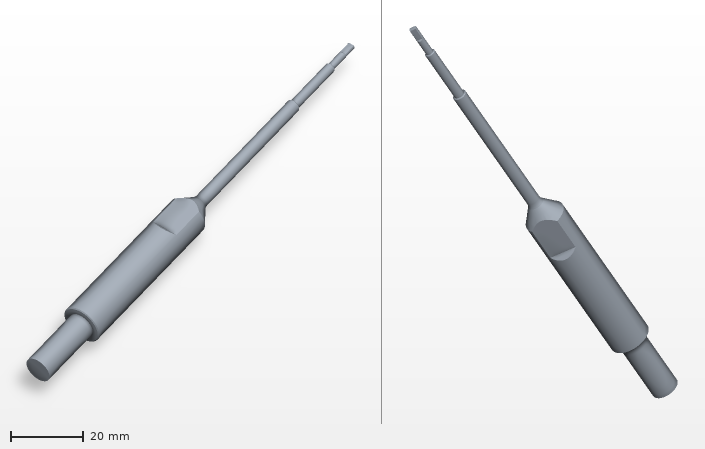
import cadquery as cq
import math

tail_end = 20.0
body_flat_start = 58.7
cone_start = 69.2
blend_start = 74.4
shaft_start = 75.8
neck_start = 118.4
tip_start = 135.4
blade_start = 141.1
tool_length = 145.0

tail_diameter = 8.0
body_diameter = 12.0
shaft_diameter = 4.0
neck_diameter = 3.0
tip_diameter = 2.2

edge_chamfer = 0.2
body_chamfer = 0.3
blend_rise = 0.35
blend_radius = ((shaft_start - blend_start) ** 2 + blend_rise**2) / (2 * blend_rise)

body_width_across_flats = 9.0
blade_thickness = 1.4


def make_turned_blank():
    """Revolve the stepped profile about the Y axis."""
    tail_r = tail_diameter / 2
    body_r = body_diameter / 2
    shaft_r = shaft_diameter / 2
    neck_r = neck_diameter / 2
    tip_r = tip_diameter / 2

    half_angle = math.asin((shaft_start - blend_start) / blend_radius) / 2
    blend_mid = (
        shaft_r + blend_radius * (1 - math.cos(half_angle)),
        shaft_start - blend_radius * math.sin(half_angle),
    )

    return (
        cq.Workplane("XY")
        .moveTo(0, 0)
        .lineTo(tail_r, 0)
        .lineTo(tail_r, tail_end)
        .lineTo(body_r - body_chamfer, tail_end)
        .lineTo(body_r, tail_end + body_chamfer)
        .lineTo(body_r, cone_start)
        .lineTo(shaft_r + blend_rise, blend_start)
        .threePointArc(blend_mid, (shaft_r, shaft_start))
        .lineTo(shaft_r, neck_start - edge_chamfer)
        .lineTo(shaft_r - edge_chamfer, neck_start)
        .lineTo(neck_r, neck_start)
        .lineTo(neck_r, tip_start - edge_chamfer)
        .lineTo(neck_r - edge_chamfer, tip_start)
        .lineTo(tip_r, tip_start)
        .lineTo(tip_r, tool_length)
        .lineTo(0, tool_length)
        .close()
        .revolve(360, (0, 0, 0), (0, 1, 0))
    )


def make_flat_cutter(diameter, width_across, flat_y, end_y):
    """Cutter for an upper flat from flat_y to end_y, with a 45 degree run-out behind flat_y."""
    flat_z = width_across / 2
    surface_z = diameter / 2
    runout_y = flat_y - (surface_z - flat_z)
    return (
        cq.Workplane("YZ")
        .moveTo(flat_y, flat_z)
        .lineTo(end_y, flat_z)
        .lineTo(end_y, surface_z)
        .lineTo(runout_y, surface_z)
        .close()
        .extrude(diameter, both=True)
    )


result = make_turned_blank()
flat_cutters = (
    make_flat_cutter(body_diameter, body_width_across_flats, body_flat_start, shaft_start),
    make_flat_cutter(tip_diameter, blade_thickness, blade_start, tool_length),
)
for cutter in flat_cutters:
    result = result.cut(cutter).cut(cutter.mirror("XY"))